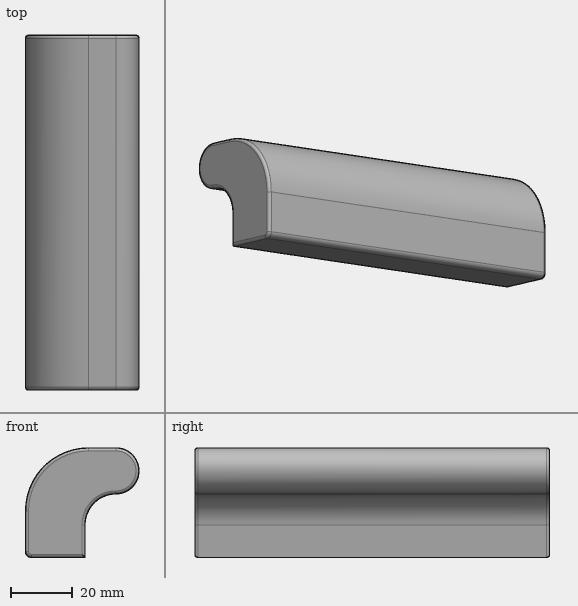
import cadquery as cq
import math

width = 36.8
length = 115.0
height = 35.5

foot_width = 19.3
outer_radius = 20.5
nose_radius = 7.5
heel_radius = 2.0
end_rounding = 1.0

nose_x = width - nose_radius
nose_center_z = height - nose_radius
nose_bottom_z = height - 2 * nose_radius
inner_radius = nose_x - foot_width
inner_start_z = nose_bottom_z - inner_radius
outer_start_z = height - outer_radius
diagonal = math.sqrt(0.5)


def hooked_profile():
    """Closed XZ outline: a foot that bends over into a round nose."""
    return (
        cq.Workplane("XZ")
        .moveTo(heel_radius, 0)
        .lineTo(foot_width, 0)
        .lineTo(foot_width, inner_start_z)
        .threePointArc(
            (nose_x - inner_radius * diagonal, inner_start_z + inner_radius * diagonal),
            (nose_x, nose_bottom_z),
        )
        .threePointArc((width, nose_center_z), (nose_x, height))
        .lineTo(outer_radius, height)
        .threePointArc(
            (outer_radius * (1 - diagonal), outer_start_z + outer_radius * diagonal),
            (0, outer_start_z),
        )
        .lineTo(0, heel_radius)
        .threePointArc(
            (heel_radius * (1 - diagonal), heel_radius * (1 - diagonal)),
            (heel_radius, 0),
        )
        .close()
    )


bar = hooked_profile().extrude(length / 2, both=True)
result = bar.faces("<Y or >Y").edges().fillet(end_rounding)